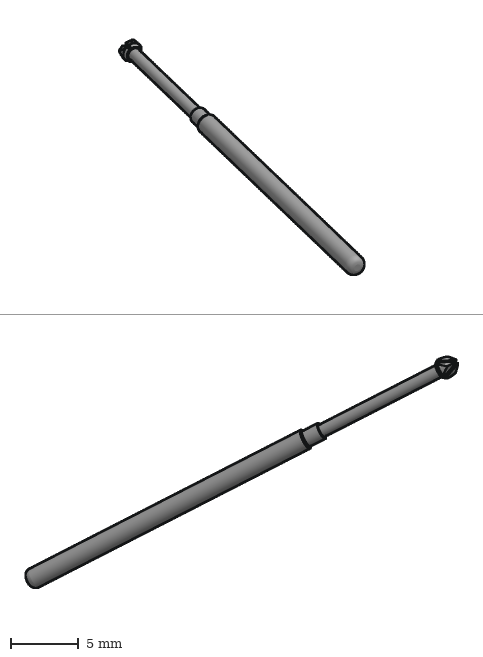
import cadquery as cq
import math

TOTAL_LENGTH = 37.08
BARREL_DIAMETER = 1.56
BARREL_START = 13.1
BARREL_END_RADIUS = 0.5

COLLAR_DIAMETER = 1.3
COLLAR_START = 11.7
COLLAR_CONE_LENGTH = 0.1

STEM_DIAMETER = 1.0
HEAD_DIAMETER = 1.56
HEAD_RIM_END = 1.25
HEAD_BACK_END = 1.5
HEAD_BACK_DIAMETER = 1.2

FACE_COUNT = 3
RIDGE_ANGLE = 46.0
APEX_X = -0.2
FIRST_FACE_ANGLE = 30.0
GROOVE_WIDTH = 0.24
GROOVE_DEPTH = 0.3
GROOVE_LENGTH = 2.2

FACE_SLOPE = math.tan(math.radians(RIDGE_ANGLE)) * math.cos(math.pi / FACE_COUNT)


def make_body():
    """Head blank, stem, collar and round-ended barrel as one revolved profile."""
    barrel_radius = BARREL_DIAMETER / 2
    collar_radius = COLLAR_DIAMETER / 2
    stem_radius = STEM_DIAMETER / 2
    head_radius = HEAD_DIAMETER / 2
    arc_offset = BARREL_END_RADIUS * math.sqrt(0.5)
    arc_center_x = TOTAL_LENGTH - BARREL_END_RADIUS
    arc_center_r = barrel_radius - BARREL_END_RADIUS
    return (
        cq.Workplane("XY")
        .lineTo(0, head_radius)
        .lineTo(HEAD_RIM_END, head_radius)
        .lineTo(HEAD_BACK_END, HEAD_BACK_DIAMETER / 2)
        .lineTo(HEAD_BACK_END, stem_radius)
        .lineTo(COLLAR_START, stem_radius)
        .lineTo(COLLAR_START, collar_radius)
        .lineTo(BARREL_START - COLLAR_CONE_LENGTH, collar_radius)
        .lineTo(BARREL_START, barrel_radius)
        .lineTo(arc_center_x, barrel_radius)
        .threePointArc(
            (arc_center_x + arc_offset, arc_center_r + arc_offset),
            (TOTAL_LENGTH, arc_center_r),
        )
        .lineTo(TOTAL_LENGTH, 0)
        .close()
        .revolve(360, (0, 0, 0), (1, 0, 0))
    )


def make_face_cutter():
    """Wedge that trims the head down to one pyramid face, facing toward +Z."""
    face_top_z = (HEAD_BACK_END - APEX_X) * FACE_SLOPE
    return (
        cq.Workplane("XZ")
        .moveTo(APEX_X, 0)
        .lineTo(HEAD_BACK_END, face_top_z)
        .lineTo(HEAD_BACK_END, HEAD_DIAMETER)
        .lineTo(APEX_X, HEAD_DIAMETER)
        .close()
        .extrude(HEAD_DIAMETER, both=True)
    )


def make_groove_cutter():
    """V prism that runs from the apex down the middle of the face toward +Z."""
    face_plane = cq.Plane(
        origin=(APEX_X, 0, 0),
        xDir=(0, 1, 0),
        normal=(1, 0, FACE_SLOPE),
    )
    return (
        cq.Workplane(face_plane)
        .moveTo(-GROOVE_WIDTH / 2, 0)
        .lineTo(0, -GROOVE_DEPTH)
        .lineTo(GROOVE_WIDTH / 2, 0)
        .close()
        .extrude(GROOVE_LENGTH)
    )


def cut_tip(body):
    """Shape the pyramid faces and the groove down the middle of each."""
    for cutter in (make_face_cutter(), make_groove_cutter()):
        for index in range(FACE_COUNT):
            angle = FIRST_FACE_ANGLE + index * 360 / FACE_COUNT
            body = body.cut(cutter.rotate((0, 0, 0), (1, 0, 0), angle))
    return body


result = cut_tip(make_body())